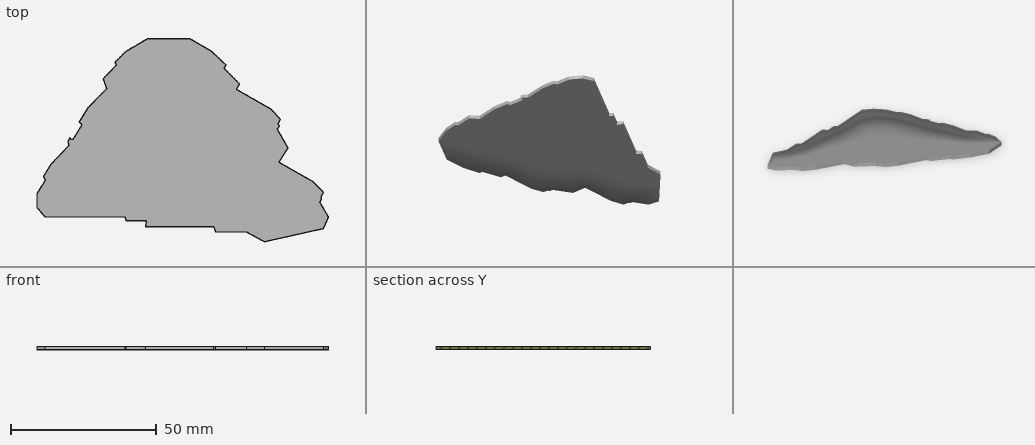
import cadquery as cq

length = 100.0
width = 69.7
thickness = 1.2

bottom_step_1 = 8.5
bottom_step_2 = 7.2
bottom_step_3 = 5.1
bottom_step_4 = 3.3

top_edge = [(52.4, width), (38.0, width)]

left_side = [
    (30.5, 65.3),
    (26.7, 61.5),
    (27.3, 60.7),
    (22.7, 55.9),
    (23.9, 52.5),
    (17.5, 46.0),
    (14.5, 41.1),
    (15.4, 40.1),
    (12.4, 35.2),
    (11.8, 35.1),
    (11.3, 35.7),
    (10.6, 34.3),
    (11.0, 33.1),
    (4.8, 26.6),
    (2.2, 22.4),
    (2.9, 21.2),
    (0.0, 16.5),
    (0.0, 11.8),
]

bottom_side = [
    (2.8, bottom_step_1),
    (30.2, bottom_step_1),
    (30.6, bottom_step_2),
    (37.5, bottom_step_2),
    (37.2, bottom_step_3),
    (60.6, bottom_step_3),
    (61.3, bottom_step_4),
    (71.9, bottom_step_4),
    (78.0, 0.0),
    (98.2, 4.5),
]

right_side = [
    (length, bottom_step_1),
    (97.0, 13.6),
    (97.6, 14.6),
    (97.4, 15.3),
    (98.3, 17.0),
    (94.6, 20.7),
    (83.0, 27.3),
    (86.1, 32.2),
    (82.4, 38.7),
    (83.2, 39.6),
    (82.7, 40.4),
    (83.5, 42.0),
    (80.3, 45.5),
    (68.4, 52.3),
    (69.5, 54.1),
    (64.2, 59.5),
    (64.9, 60.6),
    (59.8, 65.4),
]


def make_plate():
    """Extrude the closed outline, centred on the origin in X and Y."""
    outline = top_edge + left_side + bottom_side + right_side
    return (
        cq.Workplane("XY", origin=(-length / 2, -width / 2, 0))
        .polyline(outline)
        .close()
        .extrude(thickness)
    )


result = make_plate()